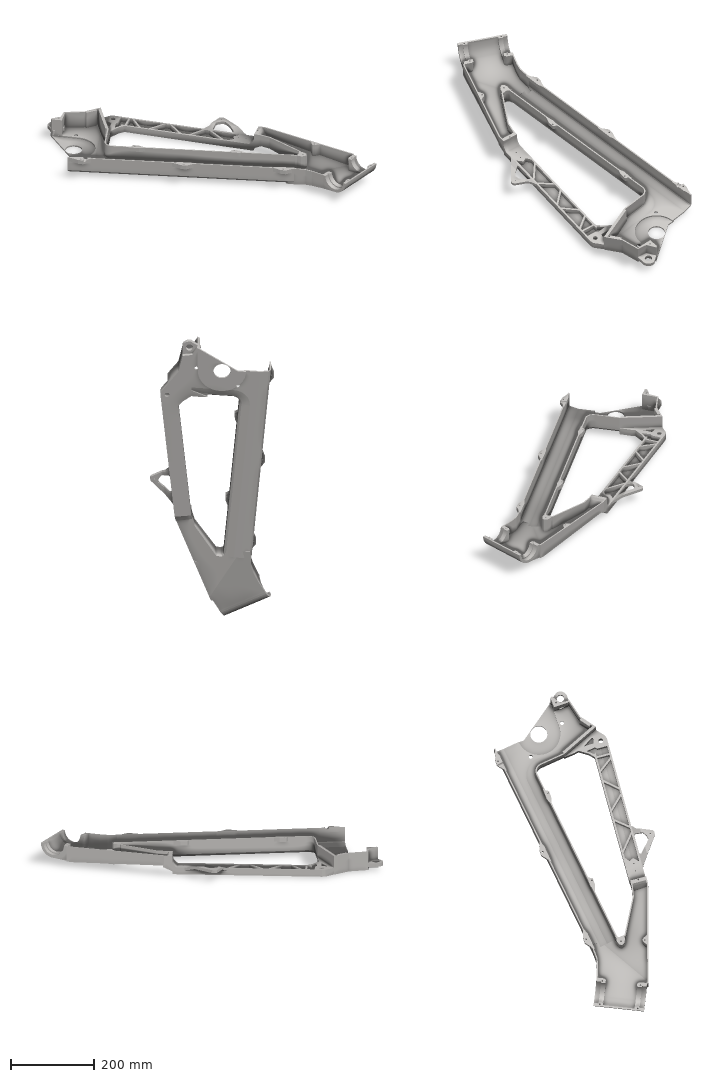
import cadquery as cq
import math


WALL = 3.0
FLOOR = 4.0
DEPTH = 46.0
BEVEL_RUN = 25.0
BEVEL_RISE = 11.0
LIP_RUN = 5.0
LIP_RISE = 6.0
SCREW_D = 4.0
CUT_MARGIN = 20.0

TAIL = (213.5, 0.0)
TUBE_ANGLE = 57.1
TUBE_WIDTH = 67.5
TUBE_LENGTH = 546.0

BRACKET = (116.4, 66.0)
BRACKET_BORE_D = 41.0
BRACKET_BOSS_R = 58.0
BRACKET_POCKET_R = 52.0
BRACKET_BOSS_DEPTH = 50.0
PLATE_HOLES = [(64.3, 99.3), (175.0, 79.6)]
PLATE_HOLE_D = 9.5
ARM_WALL_START = (38.0, 179.0)
ARM_WALL_BEND = (137.0, 149.5)
ARM_WALL_TOP = 7.0
ARM_WALL_FOOT = 9.0
PLATE_CORNER = (202.4, 106.5)
PLATE_CORNER_R = 17.0

AXLE = (17.2, 65.7)
AXLE_LUG_R = 17.2
AXLE_RECESS_R = 18.0
AXLE_HOLE_D = 18.0
LUG_TOP = -29.0
LUG_BOTTOM = -38.0
LUG_SCREW = (38.0, 66.2)

ARM_ORIGIN = (43.0, 213.0)
ARM_ANGLE = 46.8
ARM_WIDTH = 40.0
ARM_TOP = -29.0
ARM_RIM = 4.5
ARM_RIB = 4.5
ARM_FLOOR_MIDDLE = -43.0
ARM_FLOOR_EDGE = -40.5
ARM_STEP = 349.0
ARM_OVERLAP = 10.0
ARM_FOOT_START = 37.0
ARM_PINS = [(286.0, 444.0), (272.5, 430.5)]
LEDGE_START = 12.0
LEDGE_END = 21.0
STEP_END = 33.0
PIVOT = (55.7, 203.6)
PIVOT_HOLE_D = 11.5

TAB_TOP = -20.0
TAB_THICKNESS = 7.0
TAB_SLOPE_RUN = 18.0
TAB_HOLE = (191.0, 426.5)
PIN_D = 3.0
PIN_DEPTH = 6.0

HEAD = (572.5, 577.0)
HEAD_ANGLE = 25.3
HEAD_R = 34.0
HEAD_HALF = 61.0
HEAD_OVERLAP = 8.0
SEAT_LENGTH = 23.0
SEAT_BLOCK = 36.0
SEAT_BLOCK_R = 7.0
SEAT_OUTER_R = 27.0
SEAT_INNER_R = 24.5
HEAD_SCREW_OFFSET = 29.0
HEAD_SCREW_INSET = 15.0
HEAD_SCREW_DEPTH = 12.0
HEAD_FLOOR_SLOPE = 0.086

EAR_DEPTH = 10.5
LEFT_EARS = [(367.1, 371.0), (238.6, 168.5)]
RIGHT_EARS = [(498.5, 435.2), (369.0, 232.7), (234.7, 24.3)]
EAR_GROOVE = (237.0, 36.0)
EAR_GROOVE_R = 4.5
EAR_GROOVE_BACK = 8.0
EAR_GROOVE_LENGTH = 25.0


def prism(points, top, bottom):
    """Upright prism over a closed plan outline."""
    return cq.Workplane("XY").workplane(offset=bottom).polyline(points).close().extrude(top - bottom)


def inner_prism(points, top, bottom):
    """Upright prism over the outline moved inwards by the wall thickness."""
    plan = cq.Workplane("XY").workplane(offset=bottom).polyline(points).close()
    return plan.offset2D(-WALL, "intersection").extrude(top - bottom)


def post(center, diameter, top, bottom):
    """Upright round post, also used to cut holes."""
    plane = cq.Workplane("XY").workplane(offset=bottom)
    return plane.center(*center).circle(diameter / 2).extrude(top - bottom)


def screw_hole(center, depth):
    return post(center, SCREW_D, 1, -depth)


def local(origin, angle, along, across):
    """Plan point given along a direction and across it, positive to the right."""
    c = math.cos(math.radians(angle))
    s = math.sin(math.radians(angle))
    return (origin[0] + along * c + across * s, origin[1] + along * s - across * c)


def tube(along, across):
    return local(TAIL, TUBE_ANGLE, along, across)


def arm(along, across):
    return local(ARM_ORIGIN, ARM_ANGLE, along, across)


def head(outward, downward):
    return local(HEAD, HEAD_ANGLE, outward, downward)


def shifted(center, offsets):
    return [(center[0] + dx, center[1] + dy) for dx, dy in offsets]


def heading(angle):
    """Unit vectors along a direction in plan and to its right."""
    c = math.cos(math.radians(angle))
    s = math.sin(math.radians(angle))
    return cq.Vector(c, s, 0), cq.Vector(s, -c, 0)


def section_bar(profile, origin, angle, length):
    """Straight bar whose (across, height) section runs from a plan point along a direction."""
    along, across = heading(angle)
    plane = cq.Plane(origin=(*origin, 0), xDir=across, normal=-along)
    return cq.Workplane(plane).polyline(profile).close().extrude(-length)


BODY_OUTLINE = [
    tube(-CUT_MARGIN, 0),
    tube(TUBE_LENGTH, 0),
    tube(TUBE_LENGTH, -TUBE_WIDTH),
    PLATE_CORNER,
    ARM_WALL_BEND,
    ARM_WALL_START,
    (36.5, 134.0),
    (16.0, 91.0),
    (33.0, 74.0),
    (30.0, 50.0),
    (28.0, 10.0),
    (148.0, 5.0),
]


def rounded_corner(body, radius):
    """Round the upright corner between the plate and the down tube."""
    pick = cq.selectors.NearestToPointSelector((*PLATE_CORNER, -DEPTH / 2))
    return body.edges("|Z").edges(pick).fillet(radius)


def bevel_section(side):
    """Space below the band: a steep lip, then a gentle slope; side is +1 or -1, towards the material."""
    reach = 5.0
    edge = BEVEL_RISE - DEPTH
    lip_slope = LIP_RISE / LIP_RUN
    band_slope = (BEVEL_RISE - LIP_RISE) / (BEVEL_RUN - LIP_RUN)
    bottom = -DEPTH - reach * band_slope
    return [
        (-side * reach, edge + reach * lip_slope),
        (side * LIP_RUN, edge - LIP_RISE),
        (side * (BEVEL_RUN + reach), bottom),
        (-side * reach, bottom),
    ]


def inner_bevel():
    """Sloped band along the plate, around the rounded corner and up the down tube."""
    corner = cq.Vector(*PLATE_CORNER)
    bend = cq.Vector(*ARM_WALL_BEND)
    tube_dir = heading(TUBE_ANGLE)[0]
    plate_dir = (bend - corner).normalized()
    half_turn = tube_dir.getAngle(plate_dir) / 2
    tangent = PLATE_CORNER_R / math.tan(half_turn)
    middle_dir = (tube_dir + plate_dir).normalized()
    to_arc = PLATE_CORNER_R / math.sin(half_turn) - PLATE_CORNER_R
    start = bend + plate_dir * (2 * CUT_MARGIN)
    path = (
        cq.Workplane("XY")
        .moveTo(start.x, start.y)
        .lineTo(*(corner + plate_dir * tangent).toTuple()[:2])
        .threePointArc(
            (corner + middle_dir * to_arc).toTuple()[:2],
            (corner + tube_dir * tangent).toTuple()[:2],
        )
        .lineTo(*tube(TUBE_LENGTH + CUT_MARGIN, -TUBE_WIDTH))
    )
    right = cq.Vector(-plate_dir.y, plate_dir.x, 0)
    plane = cq.Plane(origin=start.toTuple(), xDir=right, normal=plate_dir)
    return cq.Workplane(plane).polyline(bevel_section(1)).close().sweep(path)


def outer_bevel():
    """Sloped band along the far edge of the down tube."""
    length = TUBE_LENGTH + 3 * CUT_MARGIN
    return section_bar(bevel_section(-1), tube(-2 * CUT_MARGIN, 0), TUBE_ANGLE, length)


def body_outer():
    body = rounded_corner(prism(BODY_OUTLINE, 0, -DEPTH), PLATE_CORNER_R)
    return body.cut(inner_bevel()).cut(outer_bevel())


def body_cavity():
    lift = (0, 0, FLOOR)
    body = rounded_corner(inner_prism(BODY_OUTLINE, FLOOR, FLOOR - DEPTH), PLATE_CORNER_R + WALL)
    return body.cut(inner_bevel().translate(lift)).cut(outer_bevel().translate(lift))


def bracket_disc(radius, top, bottom):
    """Disc around the bracket axis with a tangent tongue towards the axle lug."""
    scale = radius / BRACKET_POCKET_R
    tongue = [(-41.0, 32.0), (-66.4, 1.0), (-84.0, -21.0), (-20.0, -48.0)]
    outline = shifted(BRACKET, [(dx * scale, dy * scale) for dx, dy in tongue])
    return post(BRACKET, 2 * radius, top, bottom).union(prism(outline, top, bottom))


def below_plate():
    """Everything past the open lower edge of the plate and the tail of the tube."""
    far = -3 * CUT_MARGIN
    outline = [(-CUT_MARGIN, 50.0), (14.0, 50.0), (34.0, 48.7), (148.0, 43.5), tube(0, -TUBE_WIDTH)]
    outline += [TAIL, tube(0, CUT_MARGIN), (TAIL[0], far), (-CUT_MARGIN, far)]
    return prism(outline, 1, -2 * DEPTH)


def axle_lug():
    lug = post(AXLE, 2 * AXLE_LUG_R, LUG_TOP, LUG_BOTTOM)
    web = prism([(1.5, 73.0), (16.0, 92.0), (40.0, 80.0), (40.0, 49.0), (12.0, 49.2)], LUG_TOP, LUG_BOTTOM)
    wall = [(16.0, 91.0), (23.0, 90.0), (50.0, 68.0), (36.0, 50.0), (35.0, 40.0), (30.0, 40.0), (33.0, 74.0)]
    recess = post(AXLE, 2 * AXLE_RECESS_R, 1, LUG_TOP)
    return lug.union(web).union(prism(wall, 0, -DEPTH).cut(recess))


def plate_wall_ribs():
    """Drafted thickening of the wall facing the arm, and a pad on the rear wall."""
    run = cq.Vector(*ARM_WALL_BEND) - cq.Vector(*ARM_WALL_START)
    angle = math.degrees(math.atan2(run.y, run.x))
    draft = [(1, 0), (ARM_WALL_TOP, 0), (ARM_WALL_FOOT, FLOOR - DEPTH), (1, FLOOR - DEPTH)]
    start = local(ARM_WALL_START, angle, WALL + 1, 0)
    pad = [(37.5, 165.0), (46.0, 165.0), (44.5, 137.0), (37.0, 137.0)]
    return section_bar(draft, start, angle, run.Length - 2 * WALL).union(prism(pad, 0, -DEPTH))


RIBS = [
    ((38.5, 0.0), (38.5, 40.0)),
    ((46.0, 0.0), (77.0, 40.0)),
    ((131.0, 0.0), (95.0, 40.0)),
    ((139.0, 0.0), (179.0, 40.0)),
    ((229.0, 0.0), (196.0, 40.0)),
    ((236.0, 0.0), (286.0, 40.0)),
]
TRUSS_START = 18.0
TRUSS_END = [(314.0, ARM_RIM), (302.0, 16.5), (307.0, 27.0), (296.0, ARM_WIDTH - ARM_RIM)]
ARM_FOOT = [
    (97.5, 197.0),
    (104.5, 171.0),
    (115.0, 165.0),
    ARM_WALL_BEND,
    (60.0, 165.0),
    (39.0, 172.0),
    (39.0, 205.0),
]
FOOT_POCKETS = [
    [(76.0, 209.0), (92.0, 207.0), (95.0, 188.0), (77.0, 200.0)],
    [(59.0, 184.0), (70.0, 192.0), (89.0, 176.0), (62.0, 181.0)],
]


def rib(start, end):
    """Straight rib between two points of the arm frame."""
    run = math.atan2(end[1] - start[1], end[0] - start[0])
    dx = -math.sin(run) * ARM_RIB / 2
    dy = math.cos(run) * ARM_RIB / 2
    corners = [
        arm(start[0] + dx, start[1] + dy),
        arm(end[0] + dx, end[1] + dy),
        arm(end[0] - dx, end[1] - dy),
        arm(start[0] - dx, start[1] - dy),
    ]
    return prism(corners, ARM_TOP, -DEPTH)


def truss_pockets():
    """Pockets between the rims with a shallow valley floor, parted by the ribs."""
    outline = [arm(*point) for point in TRUSS_END]
    outline += [arm(TRUSS_START, ARM_WIDTH - ARM_RIM), arm(TRUSS_START, ARM_RIM)]
    valley = [
        (0, 0),
        (0, ARM_FLOOR_EDGE),
        (ARM_WIDTH / 2, ARM_FLOOR_MIDDLE),
        (ARM_WIDTH, ARM_FLOOR_EDGE),
        (ARM_WIDTH, 0),
    ]
    pockets = prism(outline, 0, -DEPTH).intersect(section_bar(valley, ARM_ORIGIN, ARM_ANGLE, ARM_STEP))
    for start, end in RIBS:
        pockets = pockets.cut(rib(start, end))
    return pockets


def seat_arm():
    end = ARM_STEP + ARM_OVERLAP
    outline = [ARM_ORIGIN, arm(end, 0), arm(end, ARM_WIDTH), arm(ARM_FOOT_START, ARM_WIDTH)] + ARM_FOOT
    bar = prism(outline, ARM_TOP, -DEPTH).cut(truss_pockets())
    for pocket in FOOT_POCKETS:
        bar = bar.cut(prism(pocket, 0, ARM_FLOOR_EDGE))
    for pin in ARM_PINS:
        bar = bar.cut(post(pin, PIN_D, 0, ARM_TOP - PIN_DEPTH))
    return bar


def arm_step():
    """Ramp and ledge where the arm rises to the split plane and drops to the top tube floor."""
    along, across = heading(ARM_ANGLE)
    plane = cq.Plane(origin=(*ARM_ORIGIN, 0), xDir=along, normal=across)
    profile = (
        cq.Workplane(plane)
        .moveTo(ARM_STEP - 5, -DEPTH)
        .lineTo(ARM_STEP - 5, ARM_TOP)
        .lineTo(ARM_STEP, ARM_TOP)
        .threePointArc((ARM_STEP + 9, ARM_TOP + 9), (ARM_STEP + LEDGE_START, -5))
        .lineTo(ARM_STEP + LEDGE_START, 0)
        .lineTo(ARM_STEP + LEDGE_END, 0)
        .lineTo(ARM_STEP + LEDGE_END + 4, -6)
        .lineTo(ARM_STEP + STEP_END, ARM_TOP + 5)
        .lineTo(ARM_STEP + STEP_END, ARM_TOP)
    )
    return profile.close().extrude(ARM_WIDTH)


def side_tab():
    """Triangular tab with a window; it slopes down where it meets the arm."""
    outline = [
        (180.0, 427.0),
        (182.0, 433.5),
        (187.0, 437.0),
        (262.0, 452.0),
        (272.0, 455.0),
        (272.0, 440.0),
        (204.0, 372.0),
        (196.0, 378.0),
        (196.5, 391.0),
    ]
    window = [(204.0, 429.5), (216.0, 431.5), (243.5, 433.0), (244.0, 428.0), (212.0, 394.0), (208.0, 395.0)]
    window += [(197.5, 410.0), (199.0, 421.0)]
    reach = 80.0
    profile = [
        (-reach, TAB_TOP),
        (-TAB_SLOPE_RUN, TAB_TOP),
        (0, ARM_TOP),
        (ARM_RIM, ARM_TOP),
        (ARM_RIM, ARM_TOP - TAB_THICKNESS),
        (0, ARM_TOP - TAB_THICKNESS),
        (-TAB_SLOPE_RUN, TAB_TOP - TAB_THICKNESS),
        (-reach, TAB_TOP - TAB_THICKNESS),
    ]
    tab = prism(outline, 0, -DEPTH).cut(prism(window, 0, -DEPTH))
    tab = tab.intersect(section_bar(profile, arm(150, 0), ARM_ANGLE, ARM_STEP - 150))
    return tab.cut(post(TAB_HOLE, PIN_D, 0, -DEPTH))


TOP_TUBE_OUTLINE = [
    arm(ARM_STEP + 18, 0),
    (303.0, 490.0),
    (512.0, 620.0),
    head(-HEAD_R, -HEAD_HALF),
    head(HEAD_OVERLAP, -HEAD_HALF),
    head(HEAD_OVERLAP, HEAD_HALF),
    head(-HEAD_R, HEAD_HALF),
    (541.0, 492.0),
    (526.0, 481.0),
    (508.0, 458.0),
    (495.0, 445.0),
    (450.0, 478.0),
    (453.5, 493.0),
    (452.5, 500.5),
    (441.0, 508.0),
    (350.0, 475.0),
    arm(ARM_STEP + 27, ARM_WIDTH),
    arm(ARM_STEP + 18, ARM_WIDTH),
]
TOP_TUBE_FLOOR = [(303.0, 490.0, -25.0), (497.0, 600.0, -38.5), (482.0, 495.0, -44.0)]


def below_plane(origin, normal):
    """Thick slab under a tilted plane."""
    size = 2000.0
    thickness = 3 * DEPTH
    plane = cq.Plane(origin=origin, normal=normal)
    return cq.Workplane(plane).rect(size, size).extrude(-thickness)


def below_top_tube(lift):
    a, b, c = [cq.Vector(*point) for point in TOP_TUBE_FLOOR]
    normal = (b - a).cross(c - a)
    if normal.z < 0:
        normal = -normal
    return below_plane((a + cq.Vector(0, 0, lift)).toTuple(), normal.toTuple())


def below_head(lift):
    outward = heading(HEAD_ANGLE)[0] * -HEAD_FLOOR_SLOPE
    return below_plane((*HEAD, lift - HEAD_R), (outward.x, outward.y, 1))


def under_floor(lift):
    """Space under the two floor planes that meet in the crease of the top tube."""
    return below_top_tube(lift).union(below_head(lift))


def head_cylinder(radius, start, end):
    """Lower half of a cylinder on the head axis between two stations."""
    downward = heading(HEAD_ANGLE)[1]
    plane = cq.Plane(origin=(*head(0, start), 0), xDir=(0, 0, 1), normal=downward.toTuple())
    half = cq.Workplane(plane).circle(radius).extrude(end - start)
    below = cq.Workplane("XY").workplane(offset=-2 * radius).center(*HEAD)
    return half.intersect(below.rect(8 * radius, 8 * radius).extrude(2 * radius))


def head_outer():
    shell = prism(TOP_TUBE_OUTLINE, 0, -DEPTH).cut(under_floor(0))
    return shell.union(head_cylinder(HEAD_R, -HEAD_HALF, HEAD_HALF))


def head_cavity():
    hollow = inner_prism(TOP_TUBE_OUTLINE, FLOOR, -DEPTH).cut(under_floor(FLOOR))
    bay = HEAD_HALF - SEAT_LENGTH
    return hollow.union(head_cylinder(HEAD_R - FLOOR, -bay, bay))


def bearing_seats():
    """Solid blocks filling both ends of the head tube, square on the frame side and round in front."""
    bay = HEAD_HALF - SEAT_LENGTH
    seats = head_cylinder(HEAD_R, -HEAD_HALF, -bay).union(head_cylinder(HEAD_R, bay, HEAD_HALF))
    for side in (-1, 1):
        near = side * bay
        far = side * HEAD_HALF
        corners = [head(-SEAT_BLOCK, near), head(0, near), head(0, far), head(-SEAT_BLOCK, far)]
        block = prism(corners, 0, -DEPTH)
        inner_edge = cq.selectors.NearestToPointSelector((*corners[0], -DEPTH / 2))
        seats = seats.union(block.edges("|Z").edges(inner_edge).fillet(SEAT_BLOCK_R).cut(under_floor(0)))
    return seats


def seat_bores():
    """Stepped bores opening from the bay to both ends of the head tube."""
    step = HEAD_HALF - SEAT_LENGTH / 2
    bores = head_cylinder(SEAT_INNER_R, -step, step)
    bores = bores.union(head_cylinder(SEAT_OUTER_R, -HEAD_HALF - 1, -step))
    return bores.union(head_cylinder(SEAT_OUTER_R, step, HEAD_HALF + 1))


LEFT_EAR_OUTLINE = [(20.0, 21.0), (4.0, 10.5), (-6.0, -2.0), (-2.0, -10.0), (-3.0, -18.0), (14.0, 4.0)]
RIGHT_EAR_OUTLINE = [(9.5, 31.0), (9.0, 2.0), (0.5, -8.0), (-8.0, -13.0), (-20.0, -22.0), (-14.0, -4.0)]
TOP_POST = (426.5, 556.0)
CORNER_POST = (458.6, 509.2)
LEDGE_SCREW = (306.7, 464.5)
POST_DEPTH = 34.0


def ears():
    parts = cq.Workplane("XY")
    outlines = [shifted(hole, LEFT_EAR_OUTLINE) for hole in LEFT_EARS]
    outlines += [shifted(hole, RIGHT_EAR_OUTLINE) for hole in RIGHT_EARS]
    for outline in outlines:
        parts = parts.union(prism(outline, 0, -EAR_DEPTH))
    return parts


def screw_posts():
    top = prism(shifted(TOP_POST, [(-16, -1), (-4, -5), (2, -5), (5, 0), (7, 12)]), 0, -POST_DEPTH)
    corner_outline = [(-18, -1), (-8, 6), (0, 9), (7, 7), (9, 1), (6, -8), (-3, -16), (-8, -8)]
    return top.union(prism(shifted(CORNER_POST, corner_outline), 0, -POST_DEPTH))


def ear_groove():
    """Half-round groove across the lowest ear, square to the down tube."""
    across = heading(TUBE_ANGLE)[1]
    start = cq.Vector(*EAR_GROOVE, 0) - across * EAR_GROOVE_BACK
    plane = cq.Plane(origin=start.toTuple(), normal=across.toTuple())
    return cq.Workplane(plane).circle(EAR_GROOVE_R).extrude(EAR_GROOVE_LENGTH)


def split_plane_screws():
    holes = cq.Workplane("XY")
    for ear in LEFT_EARS + RIGHT_EARS:
        holes = holes.union(screw_hole(ear, EAR_DEPTH + 1))
    for side in (-HEAD_SCREW_OFFSET, HEAD_SCREW_OFFSET):
        for end in (HEAD_SCREW_INSET - HEAD_HALF, HEAD_HALF - HEAD_SCREW_INSET):
            holes = holes.union(screw_hole(head(side, end), HEAD_SCREW_DEPTH))
    for center in (TOP_POST, CORNER_POST, LEDGE_SCREW, LUG_SCREW):
        holes = holes.union(screw_hole(center, HEAD_SCREW_DEPTH))
    return holes


shell = body_outer().union(head_outer())
shell = shell.union(bracket_disc(BRACKET_BOSS_R, FLOOR - DEPTH, -BRACKET_BOSS_DEPTH))
shell = shell.union(seat_arm().union(side_tab()))
shell = shell.cut(body_cavity()).cut(head_cavity())
shell = shell.cut(bracket_disc(BRACKET_POCKET_R, FLOOR - DEPTH, FLOOR - BRACKET_BOSS_DEPTH))
shell = shell.union(arm_step()).union(axle_lug()).union(bearing_seats()).union(screw_posts())
shell = shell.union(plate_wall_ribs()).cut(seat_bores())
shell = shell.cut(below_plate()).union(ears()).cut(ear_groove())

for plate_hole in PLATE_HOLES:
    shell = shell.cut(post(plate_hole, PLATE_HOLE_D, 0, -2 * DEPTH))
shell = shell.cut(post(BRACKET, BRACKET_BORE_D, 0, -2 * DEPTH))
shell = shell.cut(post(AXLE, AXLE_HOLE_D, 0, -2 * DEPTH))
shell = shell.cut(post(PIVOT, PIVOT_HOLE_D, 0, -2 * DEPTH))
result = shell.cut(split_plane_screws())